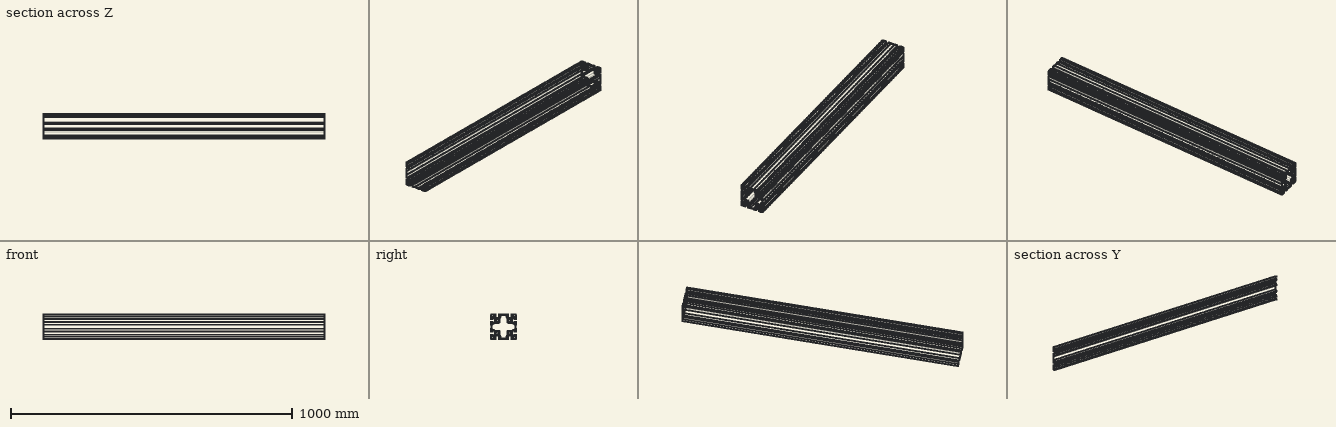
import cadquery as cq
import math

length = 1000.0
side = 90.0
half = side / 2
outer_round = 5.0

slot_offset = side / 4
slot_opening = 10.0
slot_width = 20.0
slot_floor_width = 14.0
slot_depth = 13.0
lip_thickness = 7.0
lip_round = 0.8

recess_width = 15.0
recess_depth = 1.0

core_half = 9.0
core_round = 5.0
bore_diameter = 10.0

wall = 4.0
cavity_end_width = 20.0
cavity_end_depth = 10.0
cavity_round = 3.0
corner_wall = 2.0
corner_hollow = 8.0

tolerance = 0.01

axis_start = (0, 0, 0)
axis_end = (1, 0, 0)


def section():
    """Section plane at the start of the bar; local axes are Y and Z."""
    return cq.Workplane("YZ").workplane(offset=-length / 2)


def mirrored_prism(right_points, center=0):
    """Full-length prism whose outline is symmetric about the given Y."""
    left_points = [(-y, z) for y, z in reversed(right_points)]
    points = [(center + y, z) for y, z in right_points + left_points]
    return section().polyline(points).close().extrude(length)


def slot(center):
    """T-slot in the +Z face with 45-degree flanks above its floor."""
    lip_z = half - lip_thickness
    floor_z = half - slot_depth
    flank_top_z = floor_z + (slot_width - slot_floor_width) / 2
    return mirrored_prism(
        [
            (slot_opening / 2, half),
            (slot_opening / 2, lip_z),
            (slot_width / 2, lip_z),
            (slot_width / 2, flank_top_z),
            (slot_floor_width / 2, floor_z),
        ],
        center,
    )


def recess():
    """Shallow recess in the middle of the +Z face."""
    return section().center(0, half - recess_depth / 2).rect(recess_width, recess_depth).extrude(length)


def cavity_arm():
    """Central hollow from the middle of the bar to the +Z wall, tapering at its end."""
    core_edge = slot_offset - core_half
    end_half = cavity_end_width / 2
    taper_top_z = half - cavity_end_depth
    taper_base_z = taper_top_z - (core_edge - end_half)
    arm = mirrored_prism(
        [
            (core_edge, -core_edge),
            (core_edge, taper_base_z),
            (end_half, taper_top_z),
            (end_half, half - wall),
        ]
    )
    return arm.edges("|X and >Z").fillet(cavity_round)


def around_axis(shape):
    """The shape repeated on all four long sides."""
    return [shape.rotate(axis_start, axis_end, 90 * turn) for turn in range(4)]


def cavity():
    """Cross-shaped central hollow with rounded inner corners."""
    arms = around_axis(cavity_arm())
    cross = arms[0]
    for arm in arms[1:]:
        cross = cross.union(arm)
    reach = slot_offset - core_half / 2
    inner_corners = cq.selectors.BoxSelector((-length, -reach, -reach), (length, reach, reach))
    return cross.edges("|X").edges(inner_corners).fillet(core_round)


def on_slot_lip(edge):
    """Whether an edge runs along the upper or lower corner of a slot lip."""
    middle = edge.Center()
    y, z = abs(middle.y), abs(middle.z)
    across = abs(min(y, z) - slot_offset)
    depth = half - max(y, z)
    at_opening = math.isclose(across, slot_opening / 2, abs_tol=tolerance)
    at_top = math.isclose(depth, 0, abs_tol=tolerance)
    at_bottom = math.isclose(depth, lip_thickness, abs_tol=tolerance)
    return at_opening and (at_top or at_bottom)


bar = section().rect(side, side).extrude(length).edges("|X").fillet(outer_round)

for slot_center in (-slot_offset, slot_offset):
    for cut in around_axis(slot(slot_center)):
        bar = bar.cut(cut)
lip_edges = [edge for edge in bar.edges("|X").vals() if on_slot_lip(edge)]
bar = bar.newObject(lip_edges).fillet(lip_round)

for cut in around_axis(recess()):
    bar = bar.cut(cut)
bar = bar.cut(cavity())

quadrants = [(y, z) for y in (-1, 1) for z in (-1, 1)]
hollow_offset = half - corner_wall - corner_hollow / 2
for y_sign, z_sign in quadrants:
    core_center = (y_sign * slot_offset, z_sign * slot_offset)
    hollow_center = (y_sign * hollow_offset, z_sign * hollow_offset)
    bore = section().center(*core_center).circle(bore_diameter / 2).extrude(length)
    hollow = section().center(*hollow_center).rect(corner_hollow, corner_hollow).extrude(length)
    bar = bar.cut(bore).cut(hollow)

result = bar